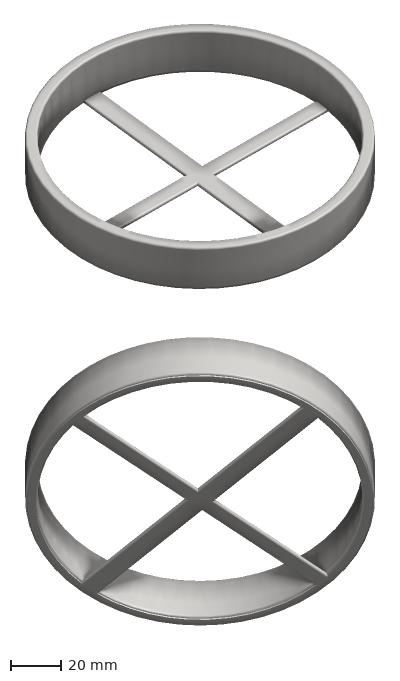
import cadquery as cq

outer_diameter = 139.5
inner_diameter = 129.5
ring_height = 22.0
edge_fillet = 1.0

lip_height = 0.7
lip_inset = edge_fillet

x_bar_width = 8.8
y_bar_width = 7.1
bar_thickness = 2.0
bar_fillet = 0.8

outer_radius = outer_diameter / 2
inner_radius = inner_diameter / 2


def make_ring():
    """Ring with all circular edges rounded, standing on a thin inset lip."""
    wall = cq.Workplane("XY").workplane(offset=lip_height)
    wall = wall.circle(outer_radius).circle(inner_radius).extrude(ring_height - lip_height)
    wall = wall.faces("<Z or >Z").edges().fillet(edge_fillet)
    lip = cq.Workplane("XY").circle(outer_radius - lip_inset).circle(inner_radius + lip_inset)
    return wall.union(lip.extrude(lip_height))


def make_bar(length_x, length_y):
    """Flat bar centred on the ring axis."""
    return cq.Workplane("XY").box(length_x, length_y, bar_thickness, centered=(True, True, False))


def make_cross():
    """Two crossing bars with rounded top and bottom edges, ending inside the ring wall."""
    wall_middle_radius = (outer_radius + inner_radius) / 2
    bar_length = 2 * outer_radius
    cross = make_bar(bar_length, x_bar_width).union(make_bar(y_bar_width, bar_length))
    cross = cross.faces("<Z or >Z").edges().fillet(bar_fillet)
    ends_limit = cq.Workplane("XY").circle(wall_middle_radius).extrude(bar_thickness)
    return cross.intersect(ends_limit)


result = make_ring().union(make_cross())